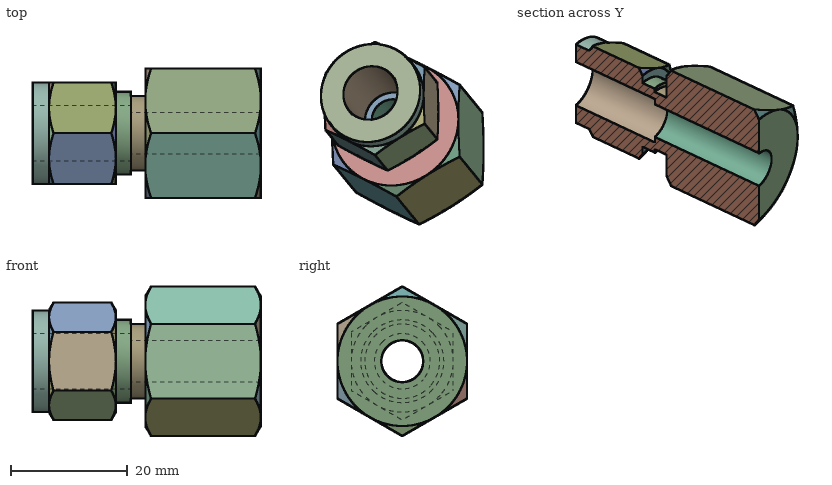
import cadquery as cq
import math

collar_end = 2.8
nut_end = 14.25
shoulder_end = 16.85
body_start = 19.3
total_length = 39.11

nut_flats = 17.46
body_flats = 22.225
hexagon_sides = 6
corner_chamfer_angle = 30.0

collar_diameter = nut_flats
shoulder_diameter = 14.25
neck_diameter = 12.8

tube_socket_diameter = 9.525
tube_socket_depth = shoulder_end
through_bore_diameter = 7.14


def cylinder(start, end, diameter):
    """Round section along X between two stations."""
    return cq.Workplane("YZ", origin=(start, 0, 0)).circle(diameter / 2).extrude(end - start)


def chamfered_hexagon(start, end, flats):
    """Hexagonal section along X whose corners are turned back to the flats at both ends."""
    flat_radius = flats / 2
    corner_radius = flat_radius / math.cos(math.pi / hexagon_sides)
    chamfer_length = (corner_radius - flat_radius) * math.tan(math.radians(corner_chamfer_angle))

    corners = []
    for index in range(hexagon_sides):
        angle = math.pi / 2 + index * 2 * math.pi / hexagon_sides
        corners.append((corner_radius * math.cos(angle), corner_radius * math.sin(angle)))
    prism = cq.Workplane("YZ", origin=(start, 0, 0)).polyline(corners).close().extrude(end - start)

    turned_envelope = (
        cq.Workplane("XY")
        .moveTo(start, 0)
        .lineTo(start, flat_radius)
        .lineTo(start + chamfer_length, corner_radius)
        .lineTo(end - chamfer_length, corner_radius)
        .lineTo(end, flat_radius)
        .lineTo(end, 0)
        .close()
        .revolve(360, (0, 0, 0), (1, 0, 0))
    )
    return prism.intersect(turned_envelope)


collar = cylinder(0, collar_end, collar_diameter)
nut = chamfered_hexagon(collar_end, nut_end, nut_flats)

shoulder = cylinder(nut_end, shoulder_end, shoulder_diameter)
neck = cylinder(shoulder_end, body_start, neck_diameter)
body = chamfered_hexagon(body_start, total_length, body_flats)

tube_socket = cylinder(0, tube_socket_depth, tube_socket_diameter)
through_bore = cylinder(0, total_length, through_bore_diameter)

outside = collar.union(nut).union(shoulder).union(neck).union(body)
result = outside.cut(tube_socket).cut(through_bore)